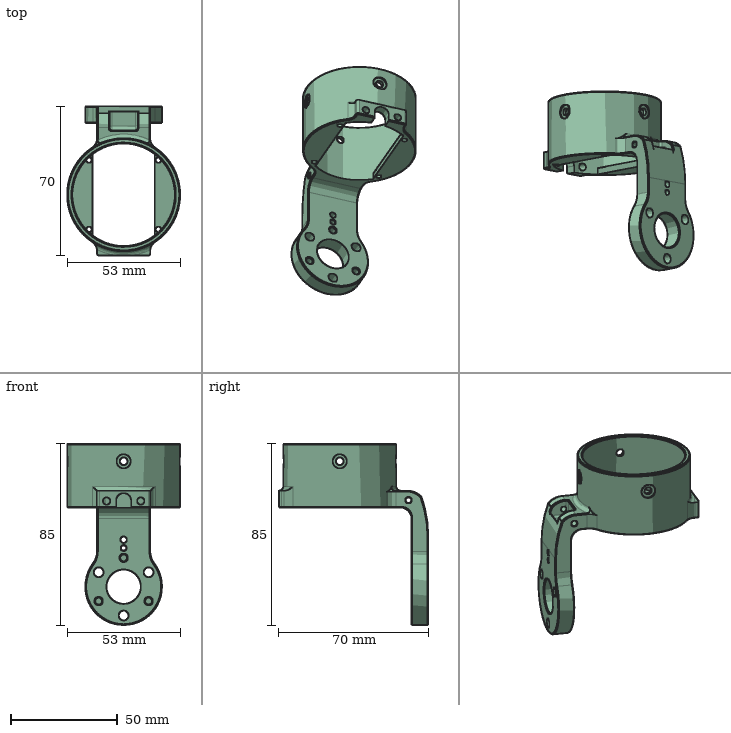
import cadquery as cq
import math

RING_R = 26.5
BORE_R = 24.0
RING_H = 30.0
EDGE_CHAMFER = 0.5

FLOOR_T = 3.0
OPENING_HALF_W = 14.5
FLOOR_HOLE_D = 2.5
FLOOR_HOLE_OFFSET = 16.25

RADIAL_HOLE_D = 3.5
RADIAL_HOLE_Z = 21.7
SPOTFACE_D = 6.6
SPOTFACE_DEPTH = 0.8

ARM_HALF_W = 12.5
ARM_H = 8.0
SIDE_BLEND_R = 5.0
TOP_BLEND_R = 2.0
PAD_Y = 28.5
PAD_CORNER_R = 1.0
PAD_HOLE_D = 3.4
PAD_HOLE_X = 8.0
PAD_HOLE_Z = 3.1
NOTCH_R = 3.5
NOTCH_TOP = 6.8

PLATE_BACK_Y = 41.5
PLATE_T = 8.0
PLATE_FRONT_Y = PLATE_BACK_Y - PLATE_T
BEND_INNER_R = 5.0
ARM_START_Y = 27.5
ROOT_END_Y = 31.0
ROOT_CROWN_HALF_W = 14.4
SHOULDER_START_Y = 31.5
SHOULDER_END_Y = 38.2
SHOULDER_END_Z = 5.1
BACK_CURVE_END_Z = -13.3

EYE_R = 18.0
EYE_Z = -37.0
EYE_BORE_D = 16.0
NECK_R = 10.0
BOLT_CIRCLE_R = 13.5
BOLT_HOLE_D = 4.5
BLIND_HOLE_D = 3.2
BLIND_HOLE_DEPTH = 6.0
HOLE_CHAMFER = 0.4

UPPER_HOLE_D = 2.9
UPPER_HOLE_Z = -15.0
LOWER_HOLE_D = 2.4
LOWER_HOLE_Z = -18.9
LOWER_HOLE_CHAMFER = 0.25

POCKET_HALF_W = 6.5
POCKET_FRONT_Y = 30.2
POCKET_BACK_Y = 38.9
POCKET_FLOOR_Z = 0.0
POCKET_CORNER_R = 1.0
POCKET_FLOOR_R = 2.0
POCKET_CHAMFER = 0.5
PIN_D = 2.6
PIN_Y = 32.2
PIN_Z = 3.5
PIN_CHAMFER = 0.25

OVERCUT = 1.0


def y_cylinder(x, z, diameter, y_start, y_end):
    """Cylinder along Y from y_start to y_end."""
    plane = cq.Plane(origin=(x, y_start, z), xDir=(1, 0, 0), normal=(0, 1, 0))
    return cq.Workplane(plane).circle(diameter / 2).extrude(y_end - y_start)


def countersink(point, direction, diameter, chamfer):
    """Cone that chamfers the mouth of a hole at a point, going in along a direction."""
    cone = cq.Solid.makeCone(
        diameter / 2 + chamfer, diameter / 2, chamfer, cq.Vector(*point), cq.Vector(*direction)
    )
    return cq.Workplane(cone)


def flange_outline(outer_y, side):
    """Flange outline that flares into the ring; side is +1 for the rear and -1 for the front."""
    arc_center_x = ARM_HALF_W + SIDE_BLEND_R
    arc_center_y = math.sqrt((RING_R + SIDE_BLEND_R) ** 2 - arc_center_x**2)
    touch_x = arc_center_x * RING_R / (RING_R + SIDE_BLEND_R)
    touch_y = arc_center_y * RING_R / (RING_R + SIDE_BLEND_R)
    mid_angle = (math.pi + math.atan2(touch_y - arc_center_y, touch_x - arc_center_x) % (2 * math.pi)) / 2
    mid_x = arc_center_x + SIDE_BLEND_R * math.cos(mid_angle)
    mid_y = arc_center_y + SIDE_BLEND_R * math.sin(mid_angle)
    return (
        cq.Workplane("XY")
        .moveTo(-ARM_HALF_W, side * outer_y)
        .lineTo(ARM_HALF_W, side * outer_y)
        .lineTo(ARM_HALF_W, side * arc_center_y)
        .threePointArc((mid_x, side * mid_y), (touch_x, side * touch_y))
        .lineTo(-touch_x, side * touch_y)
        .threePointArc((-mid_x, side * mid_y), (-ARM_HALF_W, side * arc_center_y))
        .close()
    )


def top_blend():
    """Concave collar around the ring, from the flange tops up to the ring wall."""
    collar_inner_r = RING_R - OVERCUT
    outer_r = RING_R + TOP_BLEND_R
    top_z = ARM_H + TOP_BLEND_R
    mid = TOP_BLEND_R * math.sqrt(0.5)
    return (
        cq.Workplane("XZ")
        .moveTo(collar_inner_r, 0)
        .lineTo(outer_r, 0)
        .lineTo(outer_r, ARM_H)
        .threePointArc((outer_r - mid, top_z - mid), (RING_R, top_z))
        .lineTo(collar_inner_r, top_z)
        .close()
        .revolve(360, (0, 0, 0), (0, 1, 0))
    )


def make_root_crown(collar):
    """Top of the rear root: its edge chamfer carries on at 45 degrees up to the collar."""
    start_z = ARM_H - EDGE_CHAMFER
    height = TOP_BLEND_R + EDGE_CHAMFER
    crown = flange_outline(ROOT_END_Y, 1).extrude(height, taper=45).translate((0, 0, start_z))
    crown = crown.intersect(cq.Workplane("XY").box(2 * ROOT_CROWN_HALF_W, 4 * RING_R, 4 * RING_R))
    below_top = cq.Workplane("XY").circle(2 * RING_R).extrude(ARM_H)
    return crown.intersect(below_top).union(crown.intersect(collar))


def make_ring_with_flanges():
    pad = flange_outline(PAD_Y, -1).extrude(ARM_H).edges("|Z and <Y").fillet(PAD_CORNER_R)
    root = flange_outline(ROOT_END_Y, 1).extrude(ARM_H - EDGE_CHAMFER)
    body = cq.Workplane("XY").circle(RING_R).extrude(RING_H).faces(">Z").chamfer(EDGE_CHAMFER)
    body = body.union(pad).union(root)
    body = body.faces("<Z").edges().chamfer(EDGE_CHAMFER)

    collar = top_blend()
    above_pad = cq.Workplane("XY").workplane(offset=ARM_H).circle(2 * RING_R).extrude(TOP_BLEND_R)
    pad_crown = flange_outline(PAD_Y, -1).extrude(ARM_H + TOP_BLEND_R).intersect(collar).intersect(above_pad)
    return body.union(make_root_crown(collar)).union(pad_crown)


def arm_side_profile():
    """Arm section in the YZ plane, extruded across the width of the eye."""
    shoulder_run = SHOULDER_END_Y - SHOULDER_START_Y
    shoulder_drop = ARM_H - SHOULDER_END_Z
    shoulder_r = (shoulder_run**2 + shoulder_drop**2) / (2 * shoulder_drop)
    shoulder_angle = math.asin(shoulder_run / shoulder_r) / 2
    shoulder_mid = (
        SHOULDER_START_Y + shoulder_r * math.sin(shoulder_angle),
        ARM_H - shoulder_r * (1 - math.cos(shoulder_angle)),
    )
    curve_run = PLATE_BACK_Y - SHOULDER_END_Y
    curve_rise = SHOULDER_END_Z - BACK_CURVE_END_Z
    curve_r = (curve_run**2 + curve_rise**2) / (2 * curve_run)
    curve_angle = math.asin(curve_rise / curve_r) / 2
    curve_mid = (
        PLATE_BACK_Y - curve_r * (1 - math.cos(curve_angle)),
        BACK_CURVE_END_Z + curve_r * math.sin(curve_angle),
    )
    bottom_z = EYE_Z - EYE_R - OVERCUT
    bend_start_y = PLATE_FRONT_Y - BEND_INNER_R
    bend_mid = BEND_INNER_R * math.sqrt(0.5)
    return (
        cq.Workplane("YZ")
        .moveTo(ARM_START_Y, 0)
        .lineTo(ARM_START_Y, ARM_H)
        .lineTo(SHOULDER_START_Y, ARM_H)
        .threePointArc(shoulder_mid, (SHOULDER_END_Y, SHOULDER_END_Z))
        .threePointArc(curve_mid, (PLATE_BACK_Y, BACK_CURVE_END_Z))
        .lineTo(PLATE_BACK_Y, bottom_z)
        .lineTo(PLATE_FRONT_Y, bottom_z)
        .lineTo(PLATE_FRONT_Y, -BEND_INNER_R)
        .threePointArc((bend_start_y + bend_mid, -BEND_INNER_R + bend_mid), (bend_start_y, 0))
        .close()
        .extrude(EYE_R + OVERCUT, both=True)
    )


def arm_front_outline():
    """Straight neck that blends into the round eye, extruded along Y."""
    blend_x = ARM_HALF_W + NECK_R
    blend_dz = math.sqrt((EYE_R + NECK_R) ** 2 - blend_x**2)
    blend_z = EYE_Z + blend_dz
    touch_x = blend_x * EYE_R / (EYE_R + NECK_R)
    touch_z = EYE_Z + blend_dz * EYE_R / (EYE_R + NECK_R)
    mid_angle = math.pi + math.atan2(blend_dz, blend_x) / 2
    mid_x = blend_x + NECK_R * math.cos(mid_angle)
    mid_z = blend_z + NECK_R * math.sin(mid_angle)
    top_z = ARM_H + OVERCUT
    return (
        cq.Workplane("XZ")
        .moveTo(-ARM_HALF_W, top_z)
        .lineTo(ARM_HALF_W, top_z)
        .lineTo(ARM_HALF_W, blend_z)
        .threePointArc((mid_x, mid_z), (touch_x, touch_z))
        .threePointArc((0, EYE_Z - EYE_R), (-touch_x, touch_z))
        .threePointArc((-mid_x, mid_z), (-ARM_HALF_W, blend_z))
        .close()
        .extrude(-(PLATE_BACK_Y + OVERCUT))
    )


def is_arm_rim(edge):
    """True for edges between the arm's side walls and its upper, lower, front and back faces."""
    box = edge.BoundingBox()
    tiny = 1e-3
    at_root = box.ymax < ARM_START_Y + tiny
    across = box.ylen < tiny and box.zlen < tiny
    wall_seam = box.xlen < tiny and box.zlen < tiny and box.zmax < -tiny
    return not (at_root or across or wall_seam)


def make_arm():
    arm = arm_side_profile().intersect(arm_front_outline())
    rim = [edge for edge in arm.edges().vals() if is_arm_rim(edge)]
    return arm.newObject(rim).chamfer(EDGE_CHAMFER)


def cut_ring_features(body):
    bore = cq.Workplane("XY").workplane(offset=FLOOR_T).circle(BORE_R).extrude(RING_H)
    mouth = cq.Workplane(
        cq.Solid.makeCone(
            BORE_R, BORE_R + EDGE_CHAMFER, EDGE_CHAMFER, cq.Vector(0, 0, RING_H - EDGE_CHAMFER)
        )
    )
    opening = (
        cq.Workplane("XY")
        .rect(2 * OPENING_HALF_W, 2 * RING_R)
        .extrude(RING_H)
        .intersect(cq.Workplane("XY").circle(BORE_R).extrude(RING_H))
    )
    floor_holes = (
        cq.Workplane("XY")
        .rect(2 * FLOOR_HOLE_OFFSET, 2 * FLOOR_HOLE_OFFSET, forConstruction=True)
        .vertices()
        .circle(FLOOR_HOLE_D / 2)
        .extrude(FLOOR_T)
    )
    body = body.cut(bore).cut(mouth).cut(opening).cut(floor_holes)

    hole = y_cylinder(0, RADIAL_HOLE_Z, RADIAL_HOLE_D, BORE_R - OVERCUT, RING_R + OVERCUT)
    spotface = y_cylinder(0, RADIAL_HOLE_Z, SPOTFACE_D, RING_R - SPOTFACE_DEPTH, RING_R + OVERCUT)
    screw_seat = hole.union(spotface)
    for quarter in range(4):
        body = body.cut(screw_seat.rotate((0, 0, 0), (0, 0, 1), 90 * quarter))
    return body


def cut_pad_features(body):
    inner_y = -BORE_R + 2 * OVERCUT
    outer_y = -PAD_Y - OVERCUT
    for x in (-PAD_HOLE_X, PAD_HOLE_X):
        body = body.cut(y_cylinder(x, PAD_HOLE_Z, PAD_HOLE_D, outer_y, inner_y))
    arch_z = NOTCH_TOP - NOTCH_R
    arch = y_cylinder(0, arch_z, 2 * NOTCH_R, outer_y, inner_y)
    channel = cq.Workplane("XY").box(2 * NOTCH_R, inner_y - outer_y, arch_z, centered=(True, False, False))
    return body.cut(arch).cut(channel.translate((0, outer_y, 0)))


def cut_eye_features(body):
    front = PLATE_FRONT_Y - OVERCUT
    back = PLATE_BACK_Y + OVERCUT
    body = body.cut(y_cylinder(0, EYE_Z, EYE_BORE_D, front, back))
    body = body.cut(countersink((0, PLATE_BACK_Y, EYE_Z), (0, -1, 0), EYE_BORE_D, EDGE_CHAMFER))
    for index in range(6):
        angle = math.radians(30 + 60 * index)
        x = BOLT_CIRCLE_R * math.cos(angle)
        z = EYE_Z + BOLT_CIRCLE_R * math.sin(angle)
        is_through = round(math.sin(3 * angle)) > 0
        if is_through:
            body = body.cut(y_cylinder(x, z, BOLT_HOLE_D, front, back))
        else:
            body = body.cut(y_cylinder(x, z, BLIND_HOLE_D, front, PLATE_FRONT_Y + BLIND_HOLE_DEPTH))
            body = body.cut(countersink((x, PLATE_FRONT_Y, z), (0, 1, 0), BLIND_HOLE_D, HOLE_CHAMFER))

    body = body.cut(y_cylinder(0, UPPER_HOLE_Z, UPPER_HOLE_D, front, back))
    body = body.cut(y_cylinder(0, LOWER_HOLE_Z, LOWER_HOLE_D, front, back))
    lower_mouth = (0, PLATE_FRONT_Y, LOWER_HOLE_Z)
    return body.cut(countersink(lower_mouth, (0, 1, 0), LOWER_HOLE_D, LOWER_HOLE_CHAMFER))


def make_pocket():
    length = POCKET_BACK_Y - POCKET_FRONT_Y
    height = ARM_H + OVERCUT - POCKET_FLOOR_Z
    return (
        cq.Workplane("XY")
        .box(2 * POCKET_HALF_W, length, height, centered=(True, False, False))
        .translate((0, POCKET_FRONT_Y, POCKET_FLOOR_Z))
        .edges("|X and <Y and <Z")
        .fillet(POCKET_FLOOR_R)
        .faces("<X or >X")
        .edges("not (>Z or >Y)")
        .fillet(POCKET_CORNER_R)
    )


def is_pocket_mouth(edge):
    """True for edges where the pocket breaks out through the top of the arm."""
    box = edge.BoundingBox()
    tiny = 1e-3
    inside_x = abs(box.xmin) < POCKET_HALF_W + tiny and abs(box.xmax) < POCKET_HALF_W + tiny
    inside_y = box.ymin > POCKET_FRONT_Y - tiny and box.ymax < POCKET_BACK_Y + tiny
    return inside_x and inside_y and box.zmin > POCKET_FLOOR_Z + POCKET_FLOOR_R


def cut_arm_features(body):
    body = body.cut(make_pocket())
    mouth_edges = [edge for edge in body.edges().vals() if is_pocket_mouth(edge)]
    body = body.newObject(mouth_edges).chamfer(POCKET_CHAMFER)
    pin = cq.Workplane("YZ").center(PIN_Y, PIN_Z).circle(PIN_D / 2).extrude(ARM_HALF_W, both=True)
    body = body.cut(pin)
    for side in (-1, 1):
        mouth = (side * ARM_HALF_W, PIN_Y, PIN_Z)
        body = body.cut(countersink(mouth, (-side, 0, 0), PIN_D, PIN_CHAMFER))
    return body


arm_solid = make_arm()
result = make_ring_with_flanges().union(arm_solid)
result = cut_ring_features(result)
result = cut_pad_features(result)
result = cut_eye_features(result)
result = cut_arm_features(result)